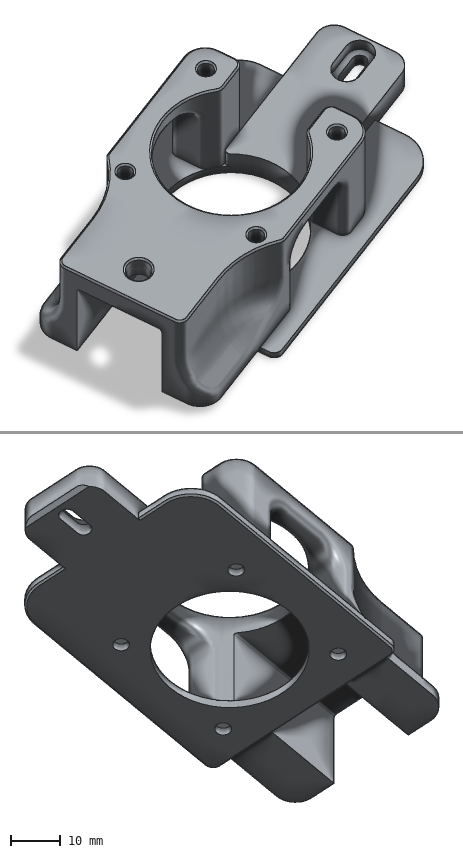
import cadquery as cq
import math


total_length = 96.2
total_height = 27.0
bore_diameter = 32.0
edge_chamfer = 0.4
channel_width = 20.0

plate_width = 50.0
plate_length = 61.9
plate_thickness = 2.0
plate_front_y = -22.9
plate_back_radius = 8.0
plate_front_radius = 2.0
tongue_thickness = 6.1
tongue_end_y = 53.3
tongue_end_radius = 4.0
tongue_end_chamfer = 1.0
tongue_tip_radius = 1.0

slot_y = 46.85
slot_travel = 5.0
slot_width = 3.4
slot_recess_width = 6.35
slot_recess_depth = 3.0

housing_width = 41.9
housing_back_y = 21.0
housing_front_y = tongue_end_y - total_length
housing_corner_radius = 5.0
deck_thickness = 5.0
channel_corner_radius = 0.8
channel_mouth_radius = 2.0
soft_radius = 2.0

window_width = 20.0
window_corner_radius = 5.0

screw_pitch = 31.0
screw_diameter = 3.4
front_hole_diameter = 5.4
front_hole_y = -35.5

scoop_wall_x = 15.0
scoop_bend_y = -29.15
scoop_bend_radius = 22.5
scoop_floor_radius = 10.0
scoop_floor_start_z = 15.1
scoop_floor_angle = 45.0
scoop_bend_turn = 90.0
scoop_reach = 7.7

half_width = housing_width / 2
half_channel = channel_width / 2
bore_radius = bore_diameter / 2
deck_underside_z = total_height - deck_thickness
bore_meets_channel_y = math.sqrt(bore_radius**2 - half_channel**2)
bore_meets_window_x = math.sqrt(bore_radius**2 - (window_width / 2) ** 2)
tolerance = 0.01


def box(x_min, x_max, y_min, y_max, z_min, z_max):
    """Axis-aligned block between the given limits."""
    block = cq.Workplane().box(x_max - x_min, y_max - y_min, z_max - z_min, centered=False)
    return block.translate((x_min, y_min, z_min))


def vertical_edges_at(part, x, y):
    """Vertical edges at the places (+x, y) and (-x, y)."""
    return part.edges("|Z").filter(
        lambda edge: math.hypot(abs(edge.Center().x) - x, edge.Center().y - y) < tolerance
    )


def bore_cutter():
    return cq.Workplane().circle(bore_radius).extrude(total_height)


def slot_cutter(width, bottom_z):
    cutter = cq.Workplane().workplane(offset=bottom_z).center(0, slot_y)
    return cutter.slot2D(slot_travel + width, width, 90).extrude(tongue_thickness - bottom_z)


def make_base():
    """Flat plate with a thicker tongue that runs out at the back."""
    half_plate = plate_width / 2
    plate_back_y = plate_front_y + plate_length
    plate = box(-half_plate, half_plate, plate_front_y, plate_back_y, 0, plate_thickness)
    plate = plate.edges("|Z and >Y").fillet(plate_back_radius)
    plate = plate.edges("|Z and <Y").fillet(plate_front_radius)
    plate = plate.faces("<Z").edges().chamfer(edge_chamfer)

    tongue = box(-half_channel, half_channel, 0, tongue_end_y, 0, tongue_thickness)
    tongue = tongue.edges("<Z and >Y").chamfer(tongue_end_chamfer)
    tongue = tongue.edges("|Z and >Y").fillet(tongue_end_radius)
    tongue = tongue.cut(bore_cutter())
    tongue = vertical_edges_at(tongue, half_channel, bore_meets_channel_y).fillet(tongue_tip_radius)

    base = plate.union(tongue)
    base = base.cut(bore_cutter()).cut(screw_cutter())
    base = base.cut(slot_cutter(slot_width, 0))
    return base.cut(slot_cutter(slot_recess_width, tongue_thickness - slot_recess_depth))


def scoop_section(plane):
    """Scoop section: upright wall, rounded floor, then a sloping floor. Local x runs outwards."""
    angle = math.radians(scoop_floor_angle)

    def floor_point(turn):
        across = scoop_floor_radius * (1 - math.cos(turn))
        down = scoop_floor_radius * math.sin(turn)
        return (across, scoop_floor_start_z - down)

    slope_start = floor_point(angle)
    slope_end_z = slope_start[1] - (scoop_reach - slope_start[0]) / math.tan(angle)
    return (
        cq.Workplane(plane)
        .moveTo(0, total_height)
        .lineTo(0, scoop_floor_start_z)
        .threePointArc(floor_point(angle / 2), slope_start)
        .lineTo(scoop_reach, slope_end_z)
        .lineTo(scoop_reach, total_height)
        .close()
    )


def scoop_cutter():
    """Scoop on the +X flank: straight from the front, then bending out through the flank."""
    plane = cq.Plane(origin=(scoop_wall_x, scoop_bend_y, 0), xDir=(1, 0, 0), normal=(0, -1, 0))
    straight = scoop_section(plane).extrude(scoop_bend_y - housing_front_y)
    bend = scoop_section(plane).revolve(scoop_bend_turn, (scoop_bend_radius, 0), (scoop_bend_radius, -1))
    return straight.union(bend)


def window_cutter():
    """Window through both flanks, round at the top corners."""
    half_window = window_width / 2
    window = box(-half_width, half_width, -half_window, half_window, plate_thickness, deck_underside_z)
    return window.edges("|X and >Z").fillet(window_corner_radius)


def screw_cutter():
    """The four screw holes around the bore."""
    centers = cq.Workplane().rect(screw_pitch, screw_pitch, forConstruction=True).vertices()
    return centers.circle(screw_diameter / 2).extrude(total_height)


def front_hole_cutter():
    return cq.Workplane().center(0, front_hole_y).circle(front_hole_diameter / 2).extrude(total_height)


def make_housing():
    body = box(-half_width, half_width, housing_front_y, housing_back_y, plate_thickness, total_height)
    body = body.edges("|Z").fillet(housing_corner_radius)

    channel = box(
        -half_channel, half_channel, housing_front_y, housing_back_y, plate_thickness, deck_underside_z
    )
    body = body.cut(channel.edges("|Y and >Z").fillet(channel_corner_radius))
    body = body.cut(box(-half_channel, half_channel, 0, housing_back_y, plate_thickness, total_height))
    body = vertical_edges_at(body, half_channel, housing_back_y).fillet(channel_mouth_radius)
    body = body.cut(bore_cutter())

    scoop = scoop_cutter()
    body = body.cut(scoop).cut(scoop.mirror("YZ"))
    body = body.cut(window_cutter())

    body = vertical_edges_at(body, scoop_wall_x, housing_front_y).fillet(soft_radius)
    body = vertical_edges_at(body, half_width, window_width / 2).fillet(soft_radius)
    body = vertical_edges_at(body, bore_meets_window_x, window_width / 2).fillet(soft_radius)
    body = vertical_edges_at(body, half_channel, bore_meets_channel_y).fillet(soft_radius)

    body = body.cut(screw_cutter())
    body = body.cut(front_hole_cutter())
    return body.faces(">Z").edges().chamfer(edge_chamfer)


base = make_base()
housing = make_housing()
result = cq.Compound.makeCompound([base.solids().val(), housing.solids().val()])